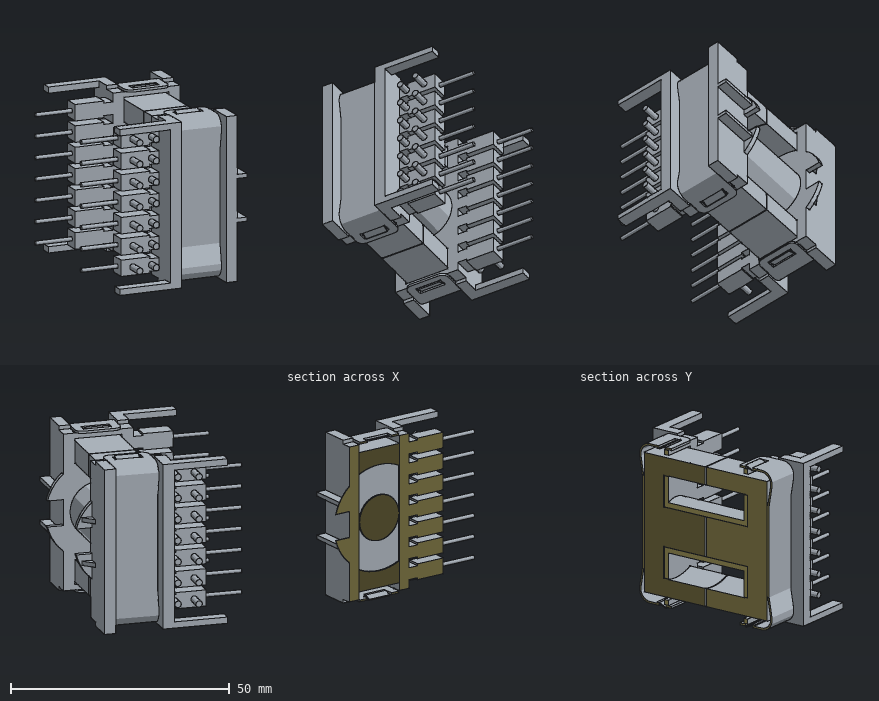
import cadquery as cq
import math


length = 42.6
height = 39.4

core_depth = 11.08
core_back = 17.35
core_inner = 11.8
core_top = 16.9
leg_inner_radius = 12.8
core_gap = 0.2

wall_inner = 10.65
wall_top = 18.8
bar_gap = 11.25
bar_depth = 2.75
bar_step = 14.23
tube_diameter = 13.55
window_clearance = 0.55

leg_width = 2.85
leg_thickness = 1.55
leg_tip = 21.1

pin_count = 7
pin_pitch = 5.05
block_width = 4.35
block_height = 3.9
block_tip = 17.9
neck_height = 3.0
neck_depth = 2.25
pin_x = 12.75
pin_diameter = 1.02
pin_tip = 26.95
peg_diameter = 1.55
short_peg_tip, short_peg_y = 17.75, 10.3
long_peg_tip, long_peg_y = 18.9, 15.0

fin_thickness = 1.2
fin_rise = 3.8
fin_straight_z = 3.1
fin_outer_z = 9.25
fin_bulge = 0.55
rib_z = 5.2
rib_thickness = 1.02
rib_rise = 2.43

clip_width = 10.9
clip_thickness = 0.55
clip_end = 9.55
clip_end_radius = 1.7
clip_bend = 2.95
clip_back = 18.7
clip_straight = 0.55
clip_seat_z = 11.08
slot_outer, slot_inner = 13.1, 11.2
slot_width = 6.65
tongue_width = 5.7
tongue_rise = 0.85
tongue_thickness = 0.35
tongue_root_lift = 0.05

half_length = length / 2
half_height = height / 2
bar_inner = bar_gap / 2
bar_outer = bar_inner + bar_depth
SIDES = (-1, 1)


def box(x0, x1, y0, y1, z0, z1):
    """Box between two X, two Y and two Z coordinates, each pair in any order."""
    return (
        cq.Workplane("XY")
        .box(abs(x1 - x0), abs(y1 - y0), abs(z1 - z0))
        .translate(((x0 + x1) / 2, (y0 + y1) / 2, (z0 + z1) / 2))
    )


def x_cylinder(diameter, x0, x1, y=0.0, z=0.0):
    """Cylinder along X between two X coordinates."""
    return cq.Workplane("YZ").center(y, z).circle(diameter / 2).extrude(x1 - x0).translate((x0, 0, 0))


def mirrored(body, side):
    """The +X body itself, or its mirror image for the -X side."""
    return body if side > 0 else body.mirror("YZ")


def core_side_part(body, side):
    """A +X core or clip placed on its side, the +X one moved out by the air gap."""
    if side > 0:
        return body.translate((core_gap, 0, 0))
    return mirrored(body, side)


def make_core():
    """The core half at +X, before the air gap is set."""
    half_depth = core_depth / 2
    core = box(0, core_back, -half_depth, half_depth, -core_top, core_top)
    winding_space = x_cylinder(2 * leg_inner_radius, 0, core_inner)
    post = x_cylinder(core_depth, 0, core_inner)
    return core.cut(winding_space).union(post)


def make_flange():
    """Wall and front and rear bars at +X, without holes."""
    flange = box(wall_inner, core_inner, -bar_outer, bar_outer, -wall_top, wall_top)
    for side in SIDES:
        inner, outer = side * bar_inner, side * bar_outer
        flange = flange.union(box(wall_inner, bar_step, inner, outer, -wall_top, wall_top))
        flange = flange.union(box(bar_step, half_length, inner, outer, -half_height, half_height))
    return flange


def make_corner_legs():
    legs = cq.Workplane("XY")
    for side in SIDES:
        legs = legs.add(
            box(
                half_length - leg_width, half_length,
                -leg_tip, -bar_outer,
                side * (half_height - leg_thickness), side * half_height,
            )
        )
    return legs.combine()


def make_terminal(z):
    """One pin block at +X with its neck, pin and two winding pegs."""
    block_outer = wall_inner + block_width
    neck_front = -bar_outer - neck_depth
    neck = box(wall_inner, block_outer, neck_front, -bar_outer, z - neck_height / 2, z + neck_height / 2)
    block = box(wall_inner, block_outer, -block_tip, neck_front, z - block_height / 2, z + block_height / 2)
    pin = (
        cq.Workplane("XZ", origin=(pin_x, -block_tip, z))
        .circle(pin_diameter / 2)
        .extrude(pin_tip - block_tip)
    )
    short_peg = x_cylinder(peg_diameter, block_outer, short_peg_tip, -short_peg_y, z)
    long_peg = x_cylinder(peg_diameter, block_outer, long_peg_tip, -long_peg_y, z)
    return neck.union(block).union(pin).union(short_peg).union(long_peg)


def make_fin(side):
    """Guide fin behind the rear bar at +X, above (side 1) or below (side -1) the middle."""
    tip = (bar_outer + fin_rise, side * fin_straight_z)
    foot = (bar_outer, side * fin_outer_z)
    chord_y = foot[0] - tip[0]
    chord_z = foot[1] - tip[1]
    chord = math.hypot(chord_y, chord_z)
    arc_middle = (
        (tip[0] + foot[0]) / 2 + fin_bulge * abs(chord_z) / chord,
        (tip[1] + foot[1]) / 2 + side * fin_bulge * abs(chord_y) / chord,
    )
    return (
        cq.Workplane("YZ", origin=(wall_inner, 0, 0))
        .moveTo(bar_outer, tip[1])
        .lineTo(*tip)
        .threePointArc(arc_middle, foot)
        .close()
        .extrude(fin_thickness)
    )


def make_triangular_rib(z):
    """Sloping rib that braces a fin at -X."""
    fin_face = -wall_inner - fin_thickness
    return (
        cq.Workplane("XY", origin=(0, 0, z - rib_thickness / 2))
        .moveTo(fin_face, bar_outer)
        .lineTo(fin_face, bar_outer + rib_rise)
        .lineTo(fin_face - rib_rise, bar_outer)
        .close()
        .extrude(rib_thickness)
    )


def make_long_rib(z):
    """Straight rib that runs from a fin to the +X end."""
    half_rib = rib_thickness / 2
    fin_face = wall_inner + fin_thickness
    return box(fin_face, half_length, bar_outer, bar_outer + rib_rise, z - half_rib, z + half_rib)


def make_leg_windows():
    """Openings for all the outer legs, bounded towards the axis by the legs' concave radius."""
    window_top = core_top + window_clearance
    opening = box(-core_inner, core_inner, -bar_inner, bar_inner, -window_top, window_top)
    return opening.cut(x_cylinder(2 * leg_inner_radius, -core_inner, core_inner))


def make_coil_former():
    former = x_cylinder(tube_diameter, -wall_inner, wall_inner)
    half = make_flange().union(make_corner_legs())
    for index in range(pin_count):
        half = half.union(make_terminal((index - (pin_count - 1) / 2) * pin_pitch))
    for side in SIDES:
        half = half.union(make_fin(side))
    for side in SIDES:
        former = former.union(mirrored(half, side))
    for side in SIDES:
        former = former.union(make_triangular_rib(side * rib_z))
        former = former.union(make_long_rib(side * rib_z))
    bore = x_cylinder(core_depth, -core_inner, core_inner)
    return former.cut(bore).cut(make_leg_windows())


def clip_profile(inset):
    """Half of one face of the clip strip in XZ, from the free end to the seat on the core back."""
    top = wall_top + clip_thickness - inset
    back = clip_back - inset
    bend_x = clip_back - clip_bend
    bend_z = wall_top + clip_thickness - clip_bend
    diagonal = (clip_bend - inset) * math.sqrt(0.5)
    seat_x = core_back + clip_thickness - inset
    return {
        "end": (clip_end, top),
        "bend_start": (bend_x, top),
        "bend_middle": (bend_x + diagonal, bend_z + diagonal),
        "bend_end": (back, bend_z),
        "straight_end": (back, bend_z - clip_straight),
        "seat": (seat_x, clip_seat_z),
    }


def make_tongue():
    """Latch tongue that rises from the outer edge of the slot towards the free end."""
    run = slot_inner - slot_outer
    slope = math.atan2(tongue_rise, -run)
    drop_x = -tongue_thickness * math.sin(slope)
    drop_z = -tongue_thickness * math.cos(slope)
    root = (slot_outer, wall_top + tongue_root_lift)
    tip = (slot_inner, root[1] + tongue_rise)
    overlap = clip_thickness
    return (
        cq.Workplane("XZ", origin=(0, tongue_width / 2, 0))
        .polyline(
            [
                (root[0] + overlap, root[1]),
                root,
                tip,
                (tip[0] + drop_x, tip[1] + drop_z),
                (root[0] + drop_x, root[1] + drop_z),
                (root[0] + overlap, root[1] + drop_z),
            ]
        )
        .close()
        .extrude(tongue_width)
    )


def make_clip():
    """The clip at +X, before the air gap is set."""
    outer = clip_profile(0)
    inner = clip_profile(clip_thickness)
    half = (
        cq.Workplane("XZ", origin=(0, clip_width / 2, 0))
        .moveTo(*outer["end"])
        .lineTo(*outer["bend_start"])
        .threePointArc(outer["bend_middle"], outer["bend_end"])
        .lineTo(*outer["straight_end"])
        .lineTo(*outer["seat"])
        .lineTo(outer["seat"][0], 0)
        .lineTo(inner["seat"][0], 0)
        .lineTo(*inner["seat"])
        .lineTo(*inner["straight_end"])
        .lineTo(*inner["bend_end"])
        .threePointArc(inner["bend_middle"], inner["bend_start"])
        .lineTo(*inner["end"])
        .close()
        .extrude(clip_width)
    )
    half = half.faces("<X").edges("|Z").fillet(clip_end_radius)
    slot = box(
        slot_outer, slot_inner,
        -slot_width / 2, slot_width / 2,
        wall_top, wall_top + clip_thickness,
    )
    half = half.cut(slot).union(make_tongue())
    return half.union(half.mirror("XY"))


core_half = make_core()
clip_half = make_clip()
cores = [core_side_part(core_half, side) for side in SIDES]
clips = [core_side_part(clip_half, side) for side in SIDES]
coil_former = make_coil_former()

bodies = [coil_former, *cores, *clips]
result = cq.Compound.makeCompound([body.solids().val() for body in bodies])